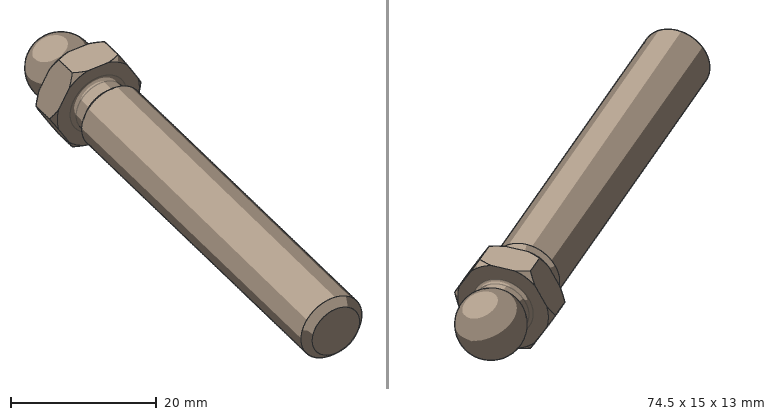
import cadquery as cq
import math

total_length = 74.5
ball_radius = 5.0
neck_radius = 4.0
shank_radius = 5.0
hex_across_flats = 13.0
hex_start = 9.45
hex_width = 5.0
hex_face_radius = 6.7
front_neck_fillet = 0.45
rear_neck_fillet = 0.6
shank_start = 17.0
tip_chamfer = 1.1

hex_end = hex_start + hex_width
hex_corner_radius = hex_across_flats / math.sqrt(3)
corner_chamfer = hex_corner_radius - hex_face_radius
ball_end = ball_radius + math.sqrt(ball_radius**2 - neck_radius**2)
shank_shoulder = shank_radius - neck_radius


def revolve_about_x(profile):
    return profile.close().revolve(360, (0, 0, 0), (1, 0, 0))


def make_stud():
    """Ball, filleted necks and chamfered shank as one revolved body."""
    fillet_sag = 1 - math.sqrt(0.5)
    front_mid = (
        hex_start - front_neck_fillet * fillet_sag,
        neck_radius + front_neck_fillet * fillet_sag,
    )
    rear_mid = (
        hex_end + rear_neck_fillet * fillet_sag,
        neck_radius + rear_neck_fillet * fillet_sag,
    )
    profile = (
        cq.Workplane("XY")
        .moveTo(0, 0)
        .threePointArc((ball_radius, ball_radius), (ball_end, neck_radius))
        .lineTo(hex_start - front_neck_fillet, neck_radius)
        .threePointArc(front_mid, (hex_start, neck_radius + front_neck_fillet))
        .lineTo(hex_end, neck_radius + rear_neck_fillet)
        .threePointArc(rear_mid, (hex_end + rear_neck_fillet, neck_radius))
        .lineTo(shank_start, neck_radius)
        .lineTo(shank_start + shank_shoulder, shank_radius)
        .lineTo(total_length - tip_chamfer, shank_radius)
        .lineTo(total_length, shank_radius - tip_chamfer)
        .lineTo(total_length, 0)
    )
    return revolve_about_x(profile)


def make_hexagon():
    """Hexagon with corners along Y, both faces chamfered by a 45 degree cone."""
    prism = (
        cq.Workplane("YZ", origin=(hex_start, 0, 0))
        .polygon(6, 2 * hex_corner_radius)
        .extrude(hex_width)
    )
    envelope = revolve_about_x(
        cq.Workplane("XY")
        .moveTo(hex_start, 0)
        .lineTo(hex_start, hex_face_radius)
        .lineTo(hex_start + corner_chamfer, hex_corner_radius)
        .lineTo(hex_end - corner_chamfer, hex_corner_radius)
        .lineTo(hex_end, hex_face_radius)
        .lineTo(hex_end, 0)
    )
    return prism.intersect(envelope)


result = make_stud().union(make_hexagon())